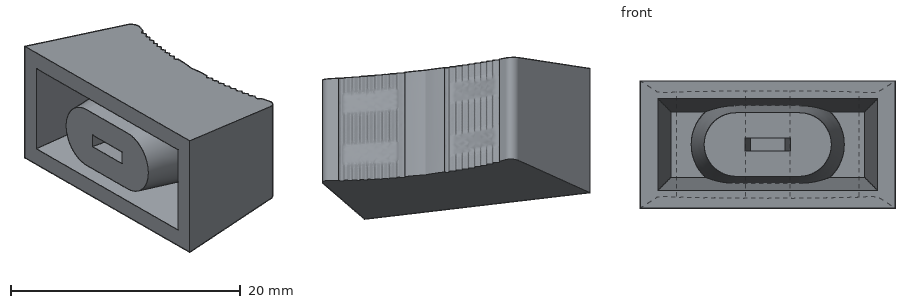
import cadquery as cq
import math

length = 22.23
width = 11.1
corner_span = 19.03
corner_width = 9.03
corner_radius = 0.71

grip_radius = 28.0
grip_low = 9.67

valley_count = 9
valley_start = 2.27
valley_pitch = 0.67
valley_depth = 0.22
ridge_half = valley_pitch / 2

crease_height = 9.55
swell_rise = 0.05

wall = 1.55
roof = 1.53
pocket_depth = grip_low - roof
pocket_draft = 8.0

stem_length = 11.07
stem_width = 5.54
stem_draft = 7.9

slot_length = 4.0
slot_end_length = 3.0
slot_width = 1.15


def grip_point(x, depth=0.0):
    """Point on the hollow grip arc at distance x from the centre, lowered by depth."""
    arc_height = grip_low + grip_radius - math.sqrt(grip_radius**2 - x**2)
    return (x, arc_height - depth)


def ridge_points():
    """Alternating valley and ridge points from the outermost valley in, ending on the centre pad."""
    points = []
    for i in reversed(range(valley_count)):
        valley_x = valley_start + i * valley_pitch
        points.append(grip_point(valley_x, valley_depth))
        points.append(grip_point(valley_x - ridge_half))
    return points


def tapered_body():
    """Block with all four sides sloped, topped by the ridged grip with rounded corners."""
    corner = grip_point(corner_span / 2)
    shoulder_x = valley_start + (valley_count - 1) * valley_pitch + ridge_half
    shoulder = grip_point(shoulder_x)
    pad_edge_x = valley_start - ridge_half
    pad_edge = grip_point(pad_edge_x)
    swell_middle = (pad_edge_x / 2, (pad_edge[1] + crease_height) / 2 + swell_rise)
    outline = (
        cq.Workplane("XY")
        .lineTo(length / 2, 0)
        .lineTo(*corner)
        .threePointArc(grip_point((corner[0] + shoulder_x) / 2), shoulder)
        .spline(ridge_points(), includeCurrent=True)
        .threePointArc(swell_middle, (0, crease_height))
        .mirrorY()
        .extrude(width / 2, both=True)
        .edges("|Z and >Y")
        .fillet(corner_radius)
    )
    side_taper = (
        cq.Workplane("YZ")
        .moveTo(0, -width / 2)
        .lineTo(corner[1], -corner_width / 2)
        .lineTo(corner[1], corner_width / 2)
        .lineTo(0, width / 2)
        .close()
        .extrude(length / 2, both=True)
    )
    return outline.intersect(side_taper)


def pocket_space():
    """Rectangular pocket narrowing from the open face to its floor."""
    return (
        cq.Workplane("XZ")
        .rect(length - 2 * wall, width - 2 * wall)
        .extrude(-pocket_depth, taper=pocket_draft)
    )


def stem():
    """Oval stem that widens from its tip until it merges with the pocket walls and floor."""
    return (
        cq.Workplane("XZ")
        .slot2D(stem_length, stem_width)
        .extrude(-pocket_depth, taper=-stem_draft)
    )


def slot_space():
    """Slot with sloped ends and parallel long sides, as deep as the pocket."""
    return (
        cq.Workplane("XY")
        .moveTo(-slot_length / 2, 0)
        .lineTo(slot_length / 2, 0)
        .lineTo(slot_end_length / 2, pocket_depth)
        .lineTo(-slot_end_length / 2, pocket_depth)
        .close()
        .extrude(slot_width / 2, both=True)
    )


hollow = pocket_space().cut(stem()).union(slot_space())
result = tapered_body().cut(hollow)